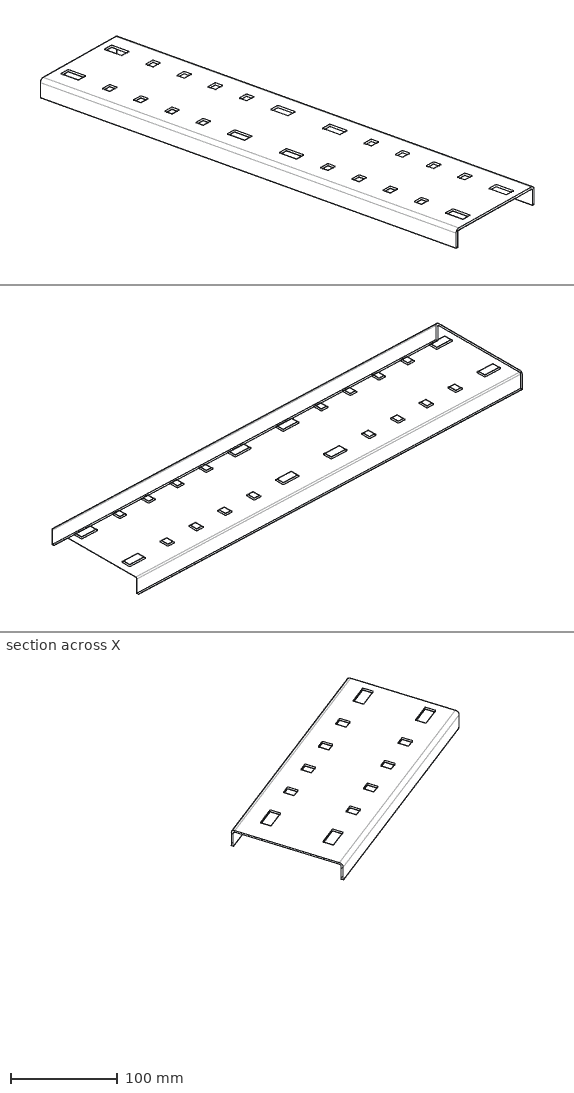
import cadquery as cq

length = 500.0
width = 117.0
height = 20.0
thickness = 2.5
outer_bend_radius = 4.0
inner_bend_radius = outer_bend_radius - thickness

row_spacing = 65.0
opening_width = 11.0
opening_corner_radius = 0.5

short_opening_length = 9.0
short_opening_pitch = 37.5
short_openings_per_group = 4
first_short_opening = 75.0
group_centre = first_short_opening + (short_openings_per_group - 1) * short_opening_pitch / 2

long_opening_length = 21.0
long_opening_spacing = 200.0


def channel_block(block_width, block_height, bend_radius):
    """Block standing on XY with its two long top edges rounded."""
    block = cq.Workplane("XY").box(length, block_width, block_height, centered=(True, True, False))
    return block.edges("|X and >Z").fillet(bend_radius)


def folded_channel():
    """Sheet-metal channel: a flat web with a flange folded down along each side."""
    outside = channel_block(width, height, outer_bend_radius)
    inside = channel_block(width - 2 * thickness, height - thickness, inner_bend_radius)
    return outside.cut(inside)


def openings(distances, opening_length):
    """Cutters in both rows, at each distance either side of the middle."""
    centres = [
        (side * distance, row * row_spacing / 2)
        for distance in distances
        for side in (-1, 1)
        for row in (-1, 1)
    ]
    cutters = cq.Workplane("XY").pushPoints(centres).rect(opening_length, opening_width).extrude(height)
    return cutters.edges("|Z").fillet(opening_corner_radius)


short_opening_distances = [
    first_short_opening + index * short_opening_pitch for index in range(short_openings_per_group)
]
long_opening_distances = [
    group_centre - long_opening_spacing / 2,
    group_centre + long_opening_spacing / 2,
]

result = (
    folded_channel()
    .cut(openings(short_opening_distances, short_opening_length))
    .cut(openings(long_opening_distances, long_opening_length))
)